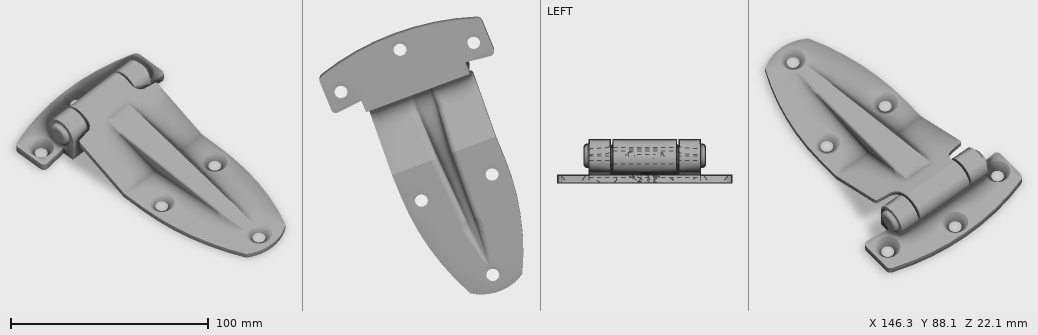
import cadquery as cq
import math

length = 146.3
base_width = 88.1
total_height = 22.1

knuckle_diameter = 16.5
knuckle_radius = knuckle_diameter / 2
base_thickness = 4.1
axis_x = 24.6
axis_z = total_height - knuckle_radius
knuckle_outer_y = 28.1
knuckle_inner_y = 17.4
barrel_half_length = 16.1
pin_radius = knuckle_radius - base_thickness
head_radius = 6.0
head_length = 2.6
head_round = 1.9
curl_gap = 0.7

base_left_arc_radius = 131.7
base_left_corner_round = 2.9
base_right_corner_round = 2.3
base_ear_x = 28.1
base_notch_x = 26.3
base_end_x = axis_x + knuckle_radius

leaf_thickness = 2.8
fold_x = 69.4
fold_round = 2.3
leaf_half_width = knuckle_outer_y
neck_corner_x = 35.4
neck_round = 5.1
shoulder_x = 36.9
shoulder_round = 1.5
side_arc_start_x = 81.7
side_arc_radius = 137.5
nose_corner_x = 142.0

rib_start_x = 37.0
rib_end_x = 131.0
rib_start_half_width = 8.6
rib_end_half_width = 4.0
rib_top_round = 1.6
rib_root_round = 1.3
cavity_wall = 3.2
cavity_top_round = 0.7
cavity_root_round = 3.0
tip_height = 0.05
straight_minimum = 0.03
root_depth = 0.7

hole_radius = 3.2
countersink_radius = 6.5
base_holes = [(18.1, 36.0), (18.1, -36.0), (8.0, 0)]
leaf_holes = [(86.9, 19.2), (86.9, -19.2), (137.0, 0)]


def y_cylinder(radius, y_from, y_to):
    """Cylinder about the hinge axis between two Y positions."""
    plane = cq.Workplane("XZ", origin=(axis_x, y_from, axis_z))
    return plane.circle(radius).extrude(y_from - y_to)


def countersunk_hole(x, y, thickness):
    """Cutter for a hole in a plate on Z = 0, its cone narrowing from the top face to the bottom."""
    cone = cq.Workplane(cq.Solid.makeCone(hole_radius, countersink_radius, thickness))
    clearance = cq.Workplane("XY", origin=(0, 0, thickness)).circle(countersink_radius).extrude(thickness)
    return cone.union(clearance).translate((x, y, 0))


def upright_edges(part, x):
    """Edges parallel to Z that stand at the given X position."""
    return part.edges("|Z").filter(lambda edge: math.isclose(edge.Center().x, x, abs_tol=0.001))


def base_plate():
    half = base_width / 2
    corner_x = base_left_arc_radius - math.sqrt(base_left_arc_radius**2 - half**2)
    plate = (
        cq.Workplane("XY")
        .moveTo(corner_x, -half)
        .lineTo(base_ear_x, -half)
        .lineTo(base_notch_x, -knuckle_outer_y)
        .lineTo(base_end_x, -knuckle_outer_y)
        .lineTo(base_end_x, knuckle_outer_y)
        .lineTo(base_notch_x, knuckle_outer_y)
        .lineTo(base_ear_x, half)
        .lineTo(corner_x, half)
        .threePointArc((0, 0), (corner_x, -half))
        .close()
        .extrude(base_thickness)
    )
    plate = upright_edges(plate, corner_x).fillet(base_left_corner_round)
    return upright_edges(plate, base_ear_x).fillet(base_right_corner_round)


def base_knuckle(y_from, y_to):
    """Sheet rising from the plate edge and curled round the pin, with a gap at its free end."""
    wall_x = base_end_x - base_thickness
    width = y_to - y_from
    wall = (
        cq.Workplane("XY")
        .box(base_thickness, width, axis_z, centered=False)
        .translate((wall_x, y_from, 0))
    )
    gap_height = axis_z - base_thickness
    gap = (
        cq.Workplane("XY")
        .box(curl_gap, width, gap_height, centered=False)
        .translate((wall_x - curl_gap, y_from, base_thickness))
    )
    return y_cylinder(knuckle_radius, y_from, y_to).union(wall).cut(gap)


def hinge_pin():
    head_end_y = knuckle_outer_y + head_length
    pin = y_cylinder(pin_radius, -knuckle_outer_y, knuckle_outer_y)
    near_head = y_cylinder(head_radius, -head_end_y, -knuckle_outer_y).faces("<Y").edges().fillet(head_round)
    return pin.union(near_head).union(near_head.mirror("XZ"))


def make_base():
    base = base_plate()
    for y_from, y_to in [(-knuckle_outer_y, -knuckle_inner_y), (knuckle_inner_y, knuckle_outer_y)]:
        base = base.union(base_knuckle(y_from, y_to))
    base = base.union(hinge_pin())
    for x, y in base_holes:
        base = base.cut(countersunk_hole(x, y, base_thickness))
    return base


def slope_angle():
    """Downward angle of the arm whose top face runs tangent from the barrel to the fold."""
    run = fold_x - axis_x
    drop = axis_z - leaf_thickness
    return math.atan2(drop, run) + math.asin(knuckle_radius / math.hypot(run, drop))


leaf_slope = slope_angle()
fold_bottom_x = fold_x - leaf_thickness * math.tan(leaf_slope / 2)
rib_start_z = leaf_thickness + (fold_x - rib_start_x) * math.tan(leaf_slope)
rib_fall = (rib_start_z - leaf_thickness) / (rib_end_x - rib_start_x)


def leaf_top_z(x):
    return leaf_thickness + max(fold_x - x, 0) * math.tan(leaf_slope)


def leaf_bottom_z(x):
    return max(fold_bottom_x - x, 0) * math.tan(leaf_slope)


def rib_roof_z(x):
    return rib_start_z - (x - rib_start_x) * rib_fall


def cavity_roof_z(x):
    return rib_roof_z(x) - leaf_thickness * math.hypot(1, rib_fall)


def rib_half_width(x):
    taper = (rib_start_half_width - rib_end_half_width) / (rib_end_x - rib_start_x)
    return rib_start_half_width - (x - rib_start_x) * taper


def leaf_sheet():
    tangent_x = axis_x + knuckle_radius * math.sin(leaf_slope)
    sheet = (
        cq.Workplane("XZ", origin=(0, leaf_half_width, 0))
        .moveTo(tangent_x, leaf_top_z(tangent_x))
        .lineTo(fold_x, leaf_thickness)
        .lineTo(length, leaf_thickness)
        .lineTo(length, 0)
        .lineTo(fold_bottom_x, 0)
        .lineTo(tangent_x, leaf_bottom_z(tangent_x))
        .close()
        .extrude(2 * leaf_half_width)
    )
    fold_edge = cq.selectors.NearestToPointSelector((fold_x, 0, leaf_thickness))
    return sheet.edges("|Y").edges(fold_edge).fillet(fold_round)


def side_arc_y(x):
    """Half width of the leaf along the arc that runs tangent from its straight side to the nose."""
    run = x - side_arc_start_x
    return leaf_half_width - side_arc_radius + math.sqrt(side_arc_radius**2 - run**2)


def leaf_outline():
    """Prism with the plan outline of the leaf."""
    arc_middle_x = (side_arc_start_x + nose_corner_x) / 2
    arc_middle_y = side_arc_y(arc_middle_x)
    nose_corner_y = side_arc_y(nose_corner_x)
    outline = (
        cq.Workplane("XY")
        .moveTo(axis_x, -barrel_half_length)
        .lineTo(neck_corner_x, -barrel_half_length)
        .lineTo(shoulder_x, -leaf_half_width)
        .lineTo(side_arc_start_x, -leaf_half_width)
        .threePointArc((arc_middle_x, -arc_middle_y), (nose_corner_x, -nose_corner_y))
        .threePointArc((length, 0), (nose_corner_x, nose_corner_y))
        .threePointArc((arc_middle_x, arc_middle_y), (side_arc_start_x, leaf_half_width))
        .lineTo(shoulder_x, leaf_half_width)
        .lineTo(neck_corner_x, barrel_half_length)
        .lineTo(axis_x, barrel_half_length)
        .close()
        .extrude(total_height)
    )
    outline = upright_edges(outline, neck_corner_x).fillet(neck_round)
    return upright_edges(outline, shoulder_x).fillet(shoulder_round)


def rib_section(x, roof_z, floor_z, half_width, top_round, root_round):
    """Cross-section of the rib: rounded shoulders that flow into concave rounds at the root.

    Where the rib is lower than both rounds together, each round turns by less than 90 degrees.
    """
    rounds = top_round + root_round
    straight = max(roof_z - floor_z - rounds, straight_minimum)
    turn = math.acos(max(1 - (roof_z - floor_z) / rounds, 0))

    top_y = half_width - top_round

    def on_top_round(angle):
        return top_y + top_round * math.sin(angle), roof_z - top_round * (1 - math.cos(angle))

    wall_top = on_top_round(turn)
    wall_foot = (wall_top[0] + straight * math.cos(turn), wall_top[1] - straight * math.sin(turn))
    center_y = wall_foot[0] + root_round * math.sin(turn)
    center_z = wall_foot[1] + root_round * math.cos(turn)

    def on_root_round(angle):
        return center_y - root_round * math.sin(angle), center_z - root_round * math.cos(angle)

    root = on_root_round(0)
    bottom_z = floor_z - root_depth

    def left(point):
        return -point[0], point[1]

    return (
        cq.Workplane("YZ", origin=(x, 0, 0))
        .moveTo(-root[0], bottom_z)
        .lineTo(root[0], bottom_z)
        .lineTo(*root)
        .threePointArc(on_root_round(turn / 2), wall_foot)
        .lineTo(*wall_top)
        .threePointArc(on_top_round(turn / 2), (top_y, roof_z))
        .lineTo(-top_y, roof_z)
        .threePointArc(left(on_top_round(turn / 2)), left(wall_top))
        .lineTo(*left(wall_foot))
        .threePointArc(left(on_root_round(turn / 2)), left(root))
        .close()
        .wire()
        .val()
    )


def rib_shape(roof, floor, peak_x, inset, top_round, root_round):
    """Rib on the sheet, or its cavity below, lofted through cross-sections.

    It rises from a low tip to its peak over the fold and falls to another low tip.
    """
    full_height = top_round + root_round + straight_minimum
    peak_height = roof(peak_x) - floor(peak_x)
    rise = math.tan(leaf_slope) - rib_fall

    def x_before_peak(height):
        return peak_x - (peak_height - height) / rise

    def x_after_peak(height):
        return peak_x + (peak_height - height) / rib_fall

    def section(x):
        return rib_section(x, roof(x), floor(x), rib_half_width(x) - inset, top_round, root_round)

    tip_heights = [tip_height, full_height / 16, full_height / 4, full_height / 2, full_height]
    rear_tip = [section(x_before_peak(h)) for h in tip_heights]
    peak = section(peak_x)
    front_tip = [section(x_after_peak(h)) for h in tip_heights]
    pieces = [
        cq.Solid.makeLoft(rear_tip),
        cq.Solid.makeLoft([rear_tip[-1], peak], True),
        cq.Solid.makeLoft([peak, front_tip[-1]], True),
        cq.Solid.makeLoft(front_tip),
    ]
    shape = cq.Workplane(pieces[0])
    for piece in pieces[1:]:
        shape = shape.union(cq.Workplane(piece))
    return shape


def make_leaf():
    leaf = leaf_sheet().intersect(leaf_outline())
    leaf = leaf.union(y_cylinder(knuckle_radius, -barrel_half_length, barrel_half_length))
    leaf = leaf.union(rib_shape(rib_roof_z, leaf_top_z, fold_x, 0, rib_top_round, rib_root_round))
    cavity = rib_shape(
        cavity_roof_z, leaf_bottom_z, fold_bottom_x, cavity_wall, cavity_top_round, cavity_root_round
    )
    leaf = leaf.cut(cavity)
    leaf = leaf.cut(y_cylinder(pin_radius, -barrel_half_length, barrel_half_length))
    for x, y in leaf_holes:
        leaf = leaf.cut(countersunk_hole(x, y, leaf_thickness))
    return leaf


base = make_base()
leaf = make_leaf()
result = cq.Compound.makeCompound([base.solids().val(), leaf.solids().val()])